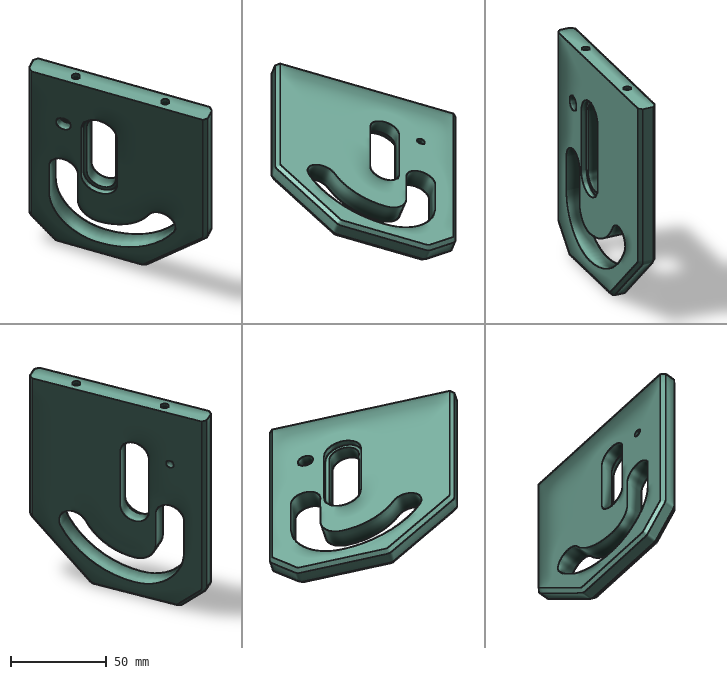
import cadquery as cq
import math

width = 100.0
thickness = 10.0
height = 126.1
left_cut = 15.0
right_cut = 35.0
corner_radius = 4.0
edge_bevel = 2.0

pitch = width / 5
hole_x = pitch
slot_x = 2 * pitch
slot_width = 16.0
slot_radius = slot_width / 2

slot_top_z = 92.8
slot_spacing = 35.0
slot_bottom_z = slot_top_z - slot_spacing
slot_step_width = 20.0
step_depth = 3.0

hole_diameter = 4.3
counterbore_diameter = 8.2
counterbore_depth = 5.0

bend_radius = pitch
sweep_radius = 2 * bend_radius
sweep_angle = math.radians(60)

drill_diameter = 4.2
drill_depth = 12.0
drill_tip_angle = math.radians(118)
drill_positions = (width / 4, 3 * width / 4)


def extrude_back(sketch, depth):
    """Extrude an XZ sketch from the front face (Y = 0) toward +Y."""
    return sketch.extrude(-depth)


def front_sketch():
    return cq.Workplane("XZ")


def make_plate():
    outline = [
        (left_cut, 0),
        (width - right_cut, 0),
        (width, right_cut),
        (width, height),
        (0, height),
        (0, left_cut),
    ]
    plate = extrude_back(front_sketch().polyline(outline).close(), thickness)
    lower_corners = plate.edges("|Y").edges(cq.selectors.BoxSelector(
        (-1.3, -1.3, -1.3), (width + 1.3, thickness + 1.3, height / 2)))
    plate = lower_corners.fillet(corner_radius)
    return plate.faces("<Y or >Y").edges("not >Z").chamfer(edge_bevel)


def straight_slot(slot_size, depth):
    middle_z = (slot_top_z + slot_bottom_z) / 2
    sketch = front_sketch().center(slot_x, middle_z).slot2D(slot_spacing + slot_size, slot_size, 90)
    return extrude_back(sketch, depth)


def curved_slot():
    bend_z = slot_bottom_z - pitch
    sweep_z = bend_z - bend_radius + sweep_radius

    def on_bend(radius, angle):
        return slot_x - radius * math.cos(angle), bend_z - radius * math.sin(angle)

    def on_sweep(radius, angle):
        return slot_x + radius * math.sin(angle), sweep_z - radius * math.cos(angle)

    half_bend = math.radians(45)
    half_sweep = sweep_angle / 2
    bend_outer = bend_radius + slot_radius
    bend_inner = bend_radius - slot_radius
    sweep_outer = sweep_radius + slot_radius
    sweep_inner = sweep_radius - slot_radius

    end_x, end_z = on_sweep(sweep_radius, sweep_angle)
    cap_tip = (
        end_x + slot_radius * math.cos(sweep_angle),
        end_z + slot_radius * math.sin(sweep_angle),
    )

    sketch = (
        front_sketch()
        .moveTo(hole_x - slot_radius, slot_bottom_z)
        .lineTo(*on_bend(bend_outer, 0))
        .threePointArc(on_bend(bend_outer, half_bend), on_sweep(sweep_outer, 0))
        .threePointArc(on_sweep(sweep_outer, half_sweep), on_sweep(sweep_outer, sweep_angle))
        .threePointArc(cap_tip, on_sweep(sweep_inner, sweep_angle))
        .threePointArc(on_sweep(sweep_inner, half_sweep), on_sweep(sweep_inner, 0))
        .threePointArc(on_bend(bend_inner, half_bend), on_bend(bend_inner, 0))
        .lineTo(hole_x + slot_radius, slot_bottom_z)
        .threePointArc((hole_x, slot_bottom_z + slot_radius), (hole_x - slot_radius, slot_bottom_z))
        .close()
    )
    return extrude_back(sketch, thickness)


def round_hole(diameter, depth):
    return extrude_back(front_sketch().center(hole_x, slot_top_z).circle(diameter / 2), depth)


def top_drilling(x):
    """Blind hole with a conical drill tip."""
    radius = drill_diameter / 2
    tip_length = radius / math.tan(drill_tip_angle / 2)
    profile = [
        (0, 0),
        (radius, 0),
        (radius, -drill_depth),
        (0, -drill_depth - tip_length),
    ]
    drilling = cq.Workplane("XZ").polyline(profile).close().revolve(360, (0, 0, 0), (0, 1, 0))
    return drilling.translate((x, thickness / 2, height))


result = make_plate()
result = result.cut(straight_slot(slot_width, thickness))
result = result.cut(straight_slot(slot_step_width, step_depth))
result = result.cut(curved_slot())
result = result.cut(round_hole(hole_diameter, thickness))
result = result.cut(round_hole(counterbore_diameter, counterbore_depth))
for drill_x in drill_positions:
    result = result.cut(top_drilling(drill_x))